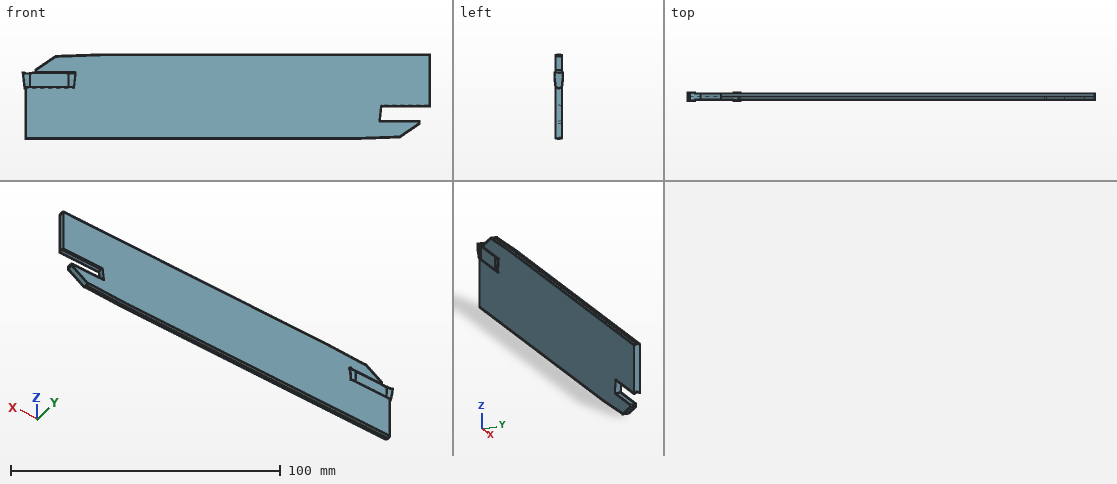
import cadquery as cq

OVERALL_LENGTH = 151.0
BLADE_HEIGHT = 31.4
BLADE_THICKNESS = 2.4
BLADE_START = 1.0
BEVEL_DEPTH = 0.3
TAPER_START = 29.5
TAPER_DROP = 0.6
JAW_SHOULDER_X = 12.4
JAW_TIP_X = 4.8
JAW_TIP_HEIGHT = 0.9

SEAT_FLOOR = 19.3
SEAT_ROOF = 24.8
INSERT_LENGTH = 19.6
END_RELIEF = 0.6
VEE_DEPTH = 0.6
INSERT_TOP = 24.6
HEAD_WIDTH = 3.2
HEAD_LENGTH = 2.7
HEAD_LAND_BOTTOM = 22.3
CHIP_GROOVE_START = 0.9
CHIP_GROOVE_END = 2.3
CHIP_GROOVE_Z = 24.3
CHIP_RAMP_END = 3.8
CUTTING_EDGE_FLAT = 0.3

blade_center_x = (BLADE_START + OVERALL_LENGTH) / 2
half_thickness = BLADE_THICKNESS / 2
half_head = HEAD_WIDTH / 2


def half_turn(points):
    """Turn points in the XZ plane by 180 degrees about the blade centre."""
    return [(2 * blade_center_x - x, BLADE_HEIGHT - z) for x, z in points]


def plate(points, thickness):
    """Extrude an XZ outline symmetrically about Y = 0."""
    return cq.Workplane("XZ").polyline(points).close().extrude(thickness / 2, both=True)


def seat_wedge(start_x, end_x):
    """Vee-shaped bar below the seat floor."""
    return (
        cq.Workplane("YZ", origin=(start_x, 0, 0))
        .polyline([
            (-half_thickness, SEAT_FLOOR),
            (0, SEAT_FLOOR - VEE_DEPTH),
            (half_thickness, SEAT_FLOOR),
        ])
        .close()
        .extrude(end_x - start_x)
    )


def edge_bevel(points):
    """Cutter for one side of the ridge along an upper edge, given its two ends."""
    (x1, z1), (x2, z2) = points
    sections = [
        cq.Wire.makePolygon([
            cq.Vector(x, -half_thickness, z - BEVEL_DEPTH),
            cq.Vector(x, 0, z),
            cq.Vector(x, -half_thickness, z),
        ], close=True)
        for x, z in ((x1, z1), (x2, z2))
    ]
    return cq.Workplane(cq.Solid.makeLoft(sections, True))


def make_blade():
    seat_end_bottom = INSERT_LENGTH - END_RELIEF
    end_outline = [
        (BLADE_START, SEAT_FLOOR),
        (seat_end_bottom, SEAT_FLOOR),
        (INSERT_LENGTH, SEAT_ROOF),
        (JAW_TIP_X, SEAT_ROOF),
        (JAW_TIP_X, SEAT_ROOF + JAW_TIP_HEIGHT),
        (JAW_SHOULDER_X, BLADE_HEIGHT - TAPER_DROP),
        (TAPER_START, BLADE_HEIGHT),
        (OVERALL_LENGTH, BLADE_HEIGHT),
    ]
    blade = plate(end_outline + half_turn(end_outline), BLADE_THICKNESS)
    tapered_edge = [(JAW_SHOULDER_X, BLADE_HEIGHT - TAPER_DROP), (TAPER_START, BLADE_HEIGHT)]
    straight_edge = [(TAPER_START, BLADE_HEIGHT), (OVERALL_LENGTH, BLADE_HEIGHT)]
    front_cutters = [edge_bevel(tapered_edge), edge_bevel(straight_edge)]
    cutters = front_cutters + [cutter.mirror("XZ") for cutter in front_cutters]
    cutters.append(seat_wedge(BLADE_START, seat_end_bottom))
    pivot = (blade_center_x, 0, BLADE_HEIGHT / 2)
    pivot_end = (blade_center_x, 1, BLADE_HEIGHT / 2)
    for cutter in cutters:
        blade = blade.cut(cutter).cut(cutter.rotate(pivot, pivot_end, 180))
    return blade


def insert_head():
    """Wide cutting head at the left end, narrowing below its land."""
    section = [
        (-half_thickness, SEAT_FLOOR),
        (half_thickness, SEAT_FLOOR),
        (half_head, HEAD_LAND_BOTTOM),
        (half_head, SEAT_ROOF),
        (-half_head, SEAT_ROOF),
        (-half_head, HEAD_LAND_BOTTOM),
    ]
    return cq.Workplane("YZ").polyline(section).close().extrude(HEAD_LENGTH)


def make_insert():
    middle_x = INSERT_LENGTH / 2
    left_profile = [
        (END_RELIEF, SEAT_FLOOR),
        (0, SEAT_ROOF),
        (CUTTING_EDGE_FLAT, SEAT_ROOF),
        (CHIP_GROOVE_START, CHIP_GROOVE_Z),
        (CHIP_GROOVE_END, CHIP_GROOVE_Z),
        (CHIP_RAMP_END, INSERT_TOP),
    ]
    right_profile = [(INSERT_LENGTH - x, z) for x, z in reversed(left_profile)]
    profile = left_profile + right_profile
    left_head = insert_head()
    right_head = left_head.mirror("YZ", (middle_x, 0, 0))
    heads = left_head.union(right_head).intersect(plate(profile, HEAD_WIDTH))
    wedge = seat_wedge(END_RELIEF, INSERT_LENGTH - END_RELIEF)
    return plate(profile, BLADE_THICKNESS).union(heads).union(wedge)


blade = make_blade()
insert = make_insert()

result = cq.Compound.makeCompound([*blade.solids().vals(), *insert.solids().vals()])